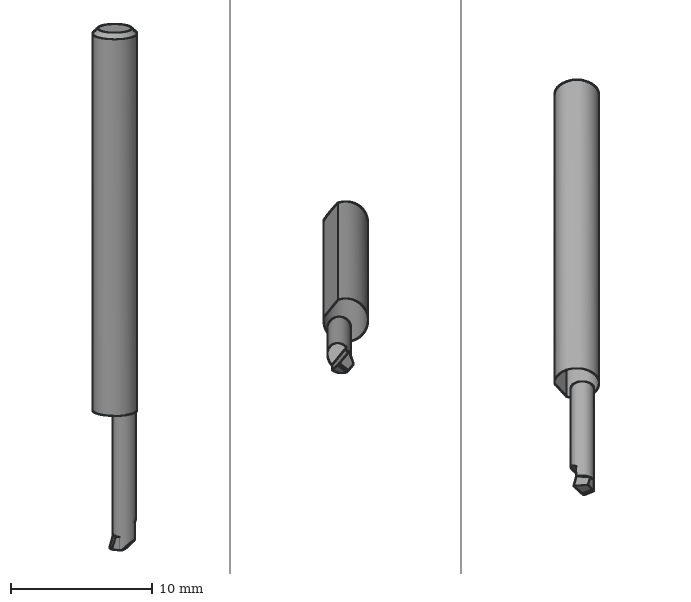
import cadquery as cq

total_length = 38.1
shank_diameter = 3.15
shank_width = 2.95
shank_chamfer = 0.4
neck_length = 10.15

neck_diameter = 1.68
relief_start = 2.85
relief_end = 2.15

tooth_height = 1.15
tooth_tip_x = -0.42
flank_setback = 0.57
bottom_clearance = 0.15
bottom_rise = 0.1
corner_flat_end = 0.9
corner_height = 0.85

shank_radius = shank_diameter / 2
neck_radius = neck_diameter / 2
neck_x = shank_radius - neck_radius
neck_left = neck_x - neck_radius


def make_shank():
    """Round shank with a chamfered top and a flat along its +Y side."""
    shank_length = total_length - neck_length
    shank = (
        cq.Workplane("XY")
        .workplane(offset=neck_length)
        .circle(shank_radius)
        .extrude(shank_length)
        .faces(">Z")
        .chamfer(shank_chamfer)
    )
    envelope = (
        cq.Workplane("XY")
        .workplane(offset=neck_length)
        .center(0, shank_width / 2 - shank_radius)
        .rect(shank_diameter, shank_width)
        .extrude(shank_length)
    )
    return shank.intersect(envelope)


def make_neck():
    """Offset round neck, cut to half at its end and bevelled at the +X corner."""
    neck = cq.Workplane("XY").center(neck_x, 0).circle(neck_radius).extrude(neck_length)
    half_relief = (
        cq.Workplane("YZ")
        .polyline([(0, 0), (0, relief_end), (neck_radius, relief_start), (neck_radius, 0)])
        .close()
        .extrude(shank_radius, both=True)
    )
    end_profile = (
        cq.Workplane("XZ")
        .moveTo(neck_x, bottom_clearance)
        .lineTo(corner_flat_end, bottom_clearance)
        .lineTo(shank_radius, corner_height)
        .lineTo(shank_radius, neck_length)
        .lineTo(neck_left, neck_length)
        .lineTo(neck_left, tooth_height)
        .lineTo(neck_x, tooth_height)
        .close()
        .extrude(neck_radius, both=True)
    )
    return neck.cut(half_relief).intersect(end_profile)


def make_tooth():
    """Cutting tooth whose flank and bottom recede behind the cutting edge."""
    return (
        cq.Workplane("XZ")
        .polyline([
            (tooth_tip_x, 0),
            (neck_left, tooth_height),
            (neck_x, tooth_height),
            (neck_x, bottom_rise),
        ])
        .close()
        .workplane(offset=neck_radius)
        .polyline([
            (tooth_tip_x + flank_setback, bottom_clearance),
            (neck_left + flank_setback, tooth_height),
            (neck_x, tooth_height),
            (neck_x, bottom_clearance),
        ])
        .close()
        .loft(ruled=True)
    )


result = make_shank().union(make_neck()).union(make_tooth())